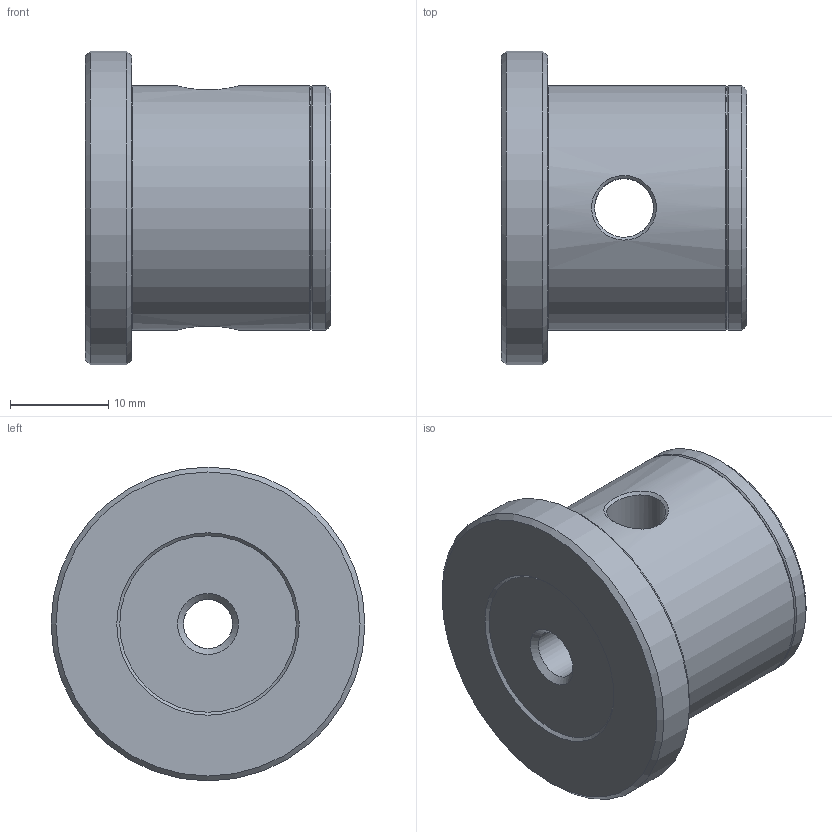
import cadquery as cq

total_length = 25.0
barrel_diameter = 24.98
barrel_radius = barrel_diameter / 2
barrel_edge_chamfer = 0.5

flange_diameter = 32.0
flange_thickness = 4.7
flange_edge_chamfer = 0.5
flange_root_fillet = 0.1

recess_floor_diameter = 18.0
recess_depth = 0.3

bore_diameter = 5.0
bore_countersink_diameter = 6.2

cross_hole_diameter = 6.0
cross_hole_x = total_length / 2
cross_hole_rim_chamfer = 0.3

groove_depth = 0.15
groove_end_distance = 2.0
groove_x = total_length - groove_end_distance


def disc(diameter, length):
    """Solid cylinder along X, starting at X = 0."""
    return cq.Workplane("YZ").circle(diameter / 2).extrude(length)


def countersink(floor_diameter, mouth_diameter, x_mouth):
    """Solid 90-degree frustum along X, widest at x_mouth and narrowing towards +X."""
    depth = (mouth_diameter - floor_diameter) / 2
    return (
        cq.Workplane("YZ")
        .workplane(offset=x_mouth)
        .circle(mouth_diameter / 2)
        .workplane(offset=depth)
        .circle(floor_diameter / 2)
        .loft()
    )


def make_body():
    """Flange and barrel, with chamfered rims and a tiny fillet at the root of the flange."""
    flange = disc(flange_diameter, flange_thickness).edges().chamfer(flange_edge_chamfer)
    barrel = disc(barrel_diameter, total_length).faces(">X").edges().chamfer(barrel_edge_chamfer)
    root_edge = cq.selectors.RadiusNthSelector(0)
    root_zone = cq.selectors.BoxSelector(
        (flange_thickness - flange_root_fillet, -barrel_radius, -barrel_radius),
        (flange_thickness + flange_root_fillet, barrel_radius, barrel_radius),
    )
    return flange.union(barrel).edges(root_zone).edges(root_edge).fillet(flange_root_fillet)


def make_groove():
    """Ring of triangular section that cuts the V-groove."""
    return (
        cq.Workplane("XY")
        .moveTo(groove_x, barrel_radius - groove_depth)
        .lineTo(groove_x + groove_depth, barrel_radius)
        .lineTo(groove_x - groove_depth, barrel_radius)
        .close()
        .revolve(360, (0, 0, 0), (1, 0, 0))
    )


def make_recess():
    return countersink(recess_floor_diameter, recess_floor_diameter + 2 * recess_depth, 0)


def make_bore():
    hole = disc(bore_diameter, total_length)
    return hole.union(countersink(bore_diameter, bore_countersink_diameter, recess_depth))


def drill_cross_hole(body):
    """Drill along Z and chamfer the rim where the hole meets the barrel on each side."""
    drill = (
        cq.Workplane("XY")
        .center(cross_hole_x, 0)
        .circle(cross_hole_diameter / 2)
        .extrude(barrel_radius, both=True)
    )
    drilled = body.cut(drill)
    box_half_width = cross_hole_diameter
    box_start = bore_diameter
    for side in (1, -1):
        rim_zone = cq.selectors.BoxSelector(
            (cross_hole_x - box_half_width, -box_half_width, side * box_start),
            (cross_hole_x + box_half_width, box_half_width, side * barrel_radius),
        )
        drilled = drilled.edges(rim_zone).chamfer(cross_hole_rim_chamfer)
    return drilled


body = make_body().cut(make_groove()).cut(make_recess())
result = drill_cross_hole(body).cut(make_bore())